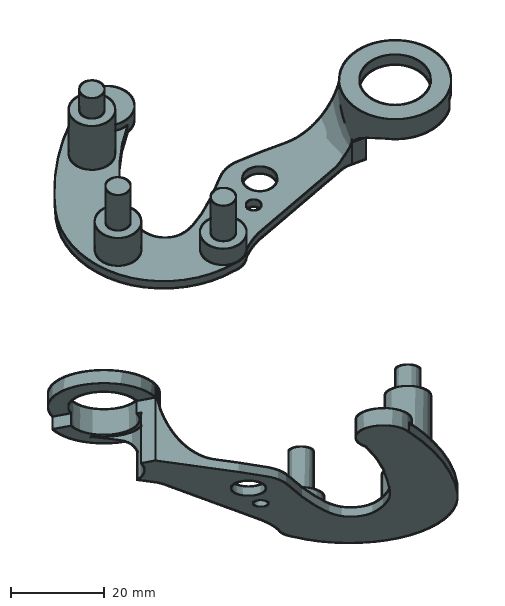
import cadquery as cq
import math

plate_thickness = 2.2
ring_radius = 23.95 / 2
bore_radius = 15.2 / 2
ring_top = 18.0
ring_bottom = 14.9
collar_bottom = 11.9
wall_inner_radius = 8.6
wall_flare_start = 6.7
flare_middle = (5.8, 10.3)
flare_end_x = 9.35
arm_left = -7.9
arm_right = 2.5
arm_top = -math.sqrt(ring_radius**2 - arm_left**2)

start_angle = -180 + math.degrees(math.acos(-arm_left / ring_radius))
fillet_end_angle = -65
fillet_sections = 6
fillet_radius_right = 5.2
right_angle = -77

tip_x, tip_y = -33.8, -51.8
tip_diameter = 12.0
tip_height = 4.1
hook_x, hook_y = -3.2, -53.95
hook_radius = 46.2 / 2

boss_diameter = 10.0
pin_diameter = 5.4
pins = [
    (14.3, -48.8, 7.1, 17.8),
    (4.2, -68.8, 10.6, 21.3),
    (-24.1, -60.4, 15.4, 21.5),
]

holes = [(-0.8, -32.1, 7.5), (5.6, -36.9, 3.3)]


def cylinder(x, y, diameter, bottom, top):
    return cq.Workplane("XY", origin=(x, y, bottom)).circle(diameter / 2).extrude(top - bottom)


def polar(radius, degrees):
    angle = math.radians(degrees)
    return radius * math.cos(angle), radius * math.sin(angle)


def half_ring(inner, bottom, top):
    """Half of a ring, on the arm side of the diameter at start_angle."""
    start = start_angle
    middle = start + 90
    end = start + 180
    return (
        cq.Workplane("XY", origin=(0, 0, bottom))
        .moveTo(*polar(inner, start))
        .lineTo(*polar(ring_radius, start))
        .threePointArc(polar(ring_radius, middle), polar(ring_radius, end))
        .lineTo(*polar(inner, end))
        .threePointArc(polar(inner, middle), polar(inner, start))
        .close()
        .extrude(top - bottom)
    )


def arm_prism(height):
    """Hook-shaped outline of the arm, running up into the ring."""
    return (
        cq.Workplane("XY")
        .moveTo(arm_left, arm_top)
        .lineTo(arm_left, -27.7)
        .lineTo(-7.7, -34.0)
        .threePointArc((-6.9, -36.85), (-5.1, -39.5))
        .lineTo(-0.3, -44.3)
        .spline([(3.8, -49.4), (6.3, -55.7), (4.3, -60.0), (-3.2, -62.3), (-13.6, -59.1)],
                tangents=[(0.68, -0.73), (-0.91, 0.41)], includeCurrent=True)
        .threePointArc((-21.1, -55.1), (-28.1, -49.7))
        .lineTo(tip_x, tip_y)
        .lineTo(-38.0, -56.2)
        .threePointArc((-26.4, -67.3), (-11.9, -75.4))
        .threePointArc((hook_x, hook_y - hook_radius), (13.1, -70.3))
        .threePointArc((hook_x + hook_radius, hook_y), (19.4, -48.8))
        .threePointArc((18.7, -46.3), (16.8, -44.4))
        .threePointArc((14.5, -41.5), (12.8, -38.0))
        .lineTo(2.9, -14.5)
        .threePointArc((2.6, -13.35), (arm_right, -11.6))
        .lineTo(arm_right, -wall_inner_radius)
        .lineTo(0, -wall_inner_radius)
        .close()
        .extrude(height)
        .cut(cylinder(0, 0, 2 * wall_inner_radius, 0, height))
    )


def arm_fillet():
    """Blend from the ring to the plate; its radius shrinks steadily from left to right."""
    left_radius = ring_top - plate_thickness
    shrink = (left_radius - fillet_radius_right) / (right_angle - start_angle)
    wires = []
    for i in range(fillet_sections):
        angle = start_angle + (fillet_end_angle - start_angle) * i / (fillet_sections - 1)
        radius = left_radius - shrink * (angle - start_angle)
        direction = cq.Vector(*polar(1, angle), 0)
        plane = cq.Plane(origin=(0, 0, 0), xDir=direction, normal=direction.cross(cq.Vector(0, 0, 1)))
        inset = radius * (1 - math.sqrt(0.5))
        section = (
            cq.Workplane(plane)
            .moveTo(wall_inner_radius, 0)
            .lineTo(ring_radius + radius, 0)
            .lineTo(ring_radius + radius, plate_thickness)
            .threePointArc((ring_radius + inset, plate_thickness + inset),
                           (ring_radius, plate_thickness + radius))
            .lineTo(wall_inner_radius, plate_thickness + radius)
            .close()
        )
        wires.append(section.val())
    return cq.Workplane(cq.Solid.makeLoft(wires)).intersect(arm_prism(ring_top))


def wall():
    """Curved wall under the ring, flaring out to the right just below the collar."""
    depth = 2 * ring_radius
    flare = (
        cq.Workplane("XZ")
        .moveTo(-depth, 0)
        .lineTo(arm_right, 0)
        .lineTo(arm_right, wall_flare_start)
        .threePointArc(flare_middle, (flare_end_x, collar_bottom))
        .lineTo(-depth, collar_bottom)
        .close()
        .extrude(depth)
    )
    return half_ring(wall_inner_radius, 0, collar_bottom).intersect(flare)


result = arm_prism(plate_thickness).union(arm_fillet()).union(wall())
result = result.union(half_ring(bore_radius, collar_bottom, ring_top))
result = result.union(cylinder(0, 0, 2 * ring_radius, ring_bottom, ring_top))
result = result.cut(cylinder(0, 0, 2 * bore_radius, 0, ring_top))
result = result.union(cylinder(tip_x, tip_y, tip_diameter, 0, tip_height))

for x, y, boss_top, pin_top in pins:
    result = result.union(cylinder(x, y, boss_diameter, 0, boss_top))
    result = result.union(cylinder(x, y, pin_diameter, boss_top, pin_top))

for x, y, diameter in holes:
    result = result.cut(cylinder(x, y, diameter, 0, plate_thickness))